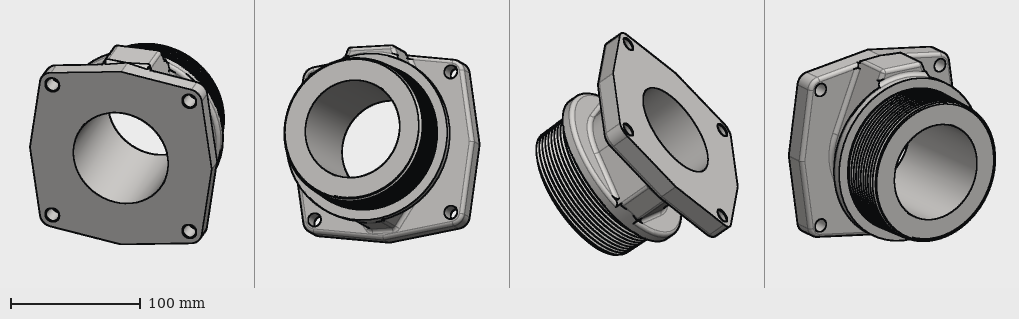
import cadquery as cq
import math


plate_reach = 73.025
plate_thickness = 17.4625
hole_offset = 55.0
corner_radius = 10.1
hole_diameter = 10.32
hole_chamfer = 0.64

neck_radius = 44.45
top_pad_half_width = 18.2
bottom_pad_half_width = 9.9

flange_radius = 65.0875
flange_front = 49.2125
flange_back = 58.7375
bore_diameter = 76.2

edge_radius = 3.175
bevel_half_length = 2.7
bevel_fill_half_width = 17.0

part_length = 95.25
thread_base_radius = 57.15
thread_pitch = 3.175
tip_chamfer = 1.5
groove_depth = 2.5
groove_width = 3.0
radius_taper = 1 / 32
groove_overlap = 0.1
tip_radius = thread_base_radius - (part_length - flange_back) * radius_taper
thread_overrun = 2 * thread_pitch


def section(y):
    """Workplane across the part axis; a negative extrusion grows towards +Y."""
    return cq.Workplane("XZ", origin=(0, y, 0))


def disc(radius, y_from, y_to):
    return section(y_from).circle(radius).extrude(y_from - y_to)


def revolved(outline):
    return outline.close().revolve(360, (0, 0, 0), (0, 1, 0))


def tangent_point(x, z, centre, radius, side):
    """Touch point on a circle of a line from (x, z); side -1 or +1 picks which of the two lines."""
    dx = x - centre
    dz = z - centre
    angle = math.atan2(dz, dx) + side * math.acos(radius / math.hypot(dx, dz))
    return (centre + radius * math.cos(angle), centre + radius * math.sin(angle))


corner_start = tangent_point(0, plate_reach, hole_offset, corner_radius, -1)
plate_edge_slope = (plate_reach - corner_start[1]) / corner_start[0]


def quarter_turned(point, turns):
    x, z = point
    for _ in range(turns):
        x, z = z, -x
    return (x, z)


def plate_outline():
    """Four shallow apexes joined by straight edges and rounded corners."""
    corner_mid = hole_offset + corner_radius * math.sqrt(0.5)
    outline = section(0).moveTo(0, plate_reach)
    for turns in range(4):
        outline = outline.lineTo(*quarter_turned(corner_start, turns))
        outline = outline.threePointArc(
            quarter_turned((corner_mid, corner_mid), turns),
            quarter_turned((corner_start[1], corner_start[0]), turns),
        )
        if turns < 3:
            outline = outline.lineTo(*quarter_turned((0, plate_reach), turns + 1))
    return outline.close()


def neck_prism(y_from, y_to):
    """Round neck blending tangentially into a pad above and below, with rounded pad edges."""
    top = tangent_point(top_pad_half_width, plate_reach, 0, neck_radius, -1)
    bottom = tangent_point(bottom_pad_half_width, -flange_radius, 0, neck_radius, 1)
    prism = (
        section(y_from)
        .moveTo(-top_pad_half_width, plate_reach)
        .lineTo(top_pad_half_width, plate_reach)
        .lineTo(*top)
        .threePointArc((neck_radius, 0), bottom)
        .lineTo(bottom_pad_half_width, -flange_radius)
        .lineTo(-bottom_pad_half_width, -flange_radius)
        .lineTo(-bottom[0], bottom[1])
        .threePointArc((-neck_radius, 0), (-top[0], top[1]))
        .close()
        .extrude(y_from - y_to)
    )
    return prism.edges("|Y").edges(">Z or <Z").fillet(edge_radius)


def make_plate():
    plate = plate_outline().extrude(-plate_thickness)
    return plate.faces(">Y").edges().fillet(edge_radius)


def make_flange():
    flange = disc(flange_radius, flange_front, flange_back)
    return flange.faces("<Y").edges().fillet(edge_radius)


def make_neck():
    """Neck with its rear edge rounded, filled out to full section inside the plate and the flange."""
    neck = neck_prism(plate_thickness, flange_front).faces(">Y").edges().fillet(edge_radius)
    root_in_plate = neck_prism(0, plate_thickness).intersect(plate_outline().extrude(-plate_thickness))
    root_in_flange = neck_prism(flange_front - edge_radius, flange_back).intersect(
        disc(flange_radius, flange_front - edge_radius, flange_back)
    )
    return neck.union(root_in_plate).union(root_in_flange)


def make_root_fillet(face_y, direction, boundary):
    """Neck stub flared at a face; direction is the sense of Y away from the face along the neck."""
    stub_end = face_y + direction * 2 * edge_radius
    slab_end = face_y - direction * edge_radius
    slab = disc(2 * plate_reach, min(face_y, slab_end), max(face_y, slab_end))
    stub = neck_prism(min(face_y, stub_end), max(face_y, stub_end))
    flared = slab.union(stub)
    slab_face = flared.faces("|Y").faces(">Y[1]").val()
    neck_outline = slab_face.innerWires()[0]
    flared = flared.newObject(neck_outline.Edges()).fillet(edge_radius)
    return flared.intersect(boundary)


def make_plate_root_fillet():
    """Fillet around the neck on the flat of the plate, inside the plate's edge round."""
    flat = plate_outline().offset2D(-edge_radius).extrude(-plate_thickness - edge_radius)
    return make_root_fillet(plate_thickness, 1, flat)


def make_flange_root_fillet():
    """Fillet around the neck on the flat of the flange, inside the flange's edge round."""
    flat = disc(flange_radius - edge_radius, flange_front - edge_radius, flange_back)
    return make_root_fillet(flange_front, -1, flat)


def make_pad_to_flange_fillet():
    """Concave ring between the flange rim and the rear face of the upper pad."""
    centre_radius = flange_radius + edge_radius
    centre_y = flange_front + edge_radius
    arc_reach = edge_radius * math.sqrt(0.5)
    ring = revolved(
        cq.Workplane("XY")
        .moveTo(flange_radius - edge_radius, flange_front - edge_radius)
        .lineTo(centre_radius, flange_front - edge_radius)
        .lineTo(centre_radius, flange_front)
        .threePointArc((centre_radius - arc_reach, centre_y - arc_reach), (flange_radius, centre_y))
        .lineTo(flange_radius - edge_radius, centre_y)
    )
    upper_half = cq.Workplane("XY").box(
        4 * plate_reach, 4 * plate_reach, 2 * plate_reach, centered=(True, True, False)
    )
    upper_pad = neck_prism(flange_front - edge_radius, centre_y).intersect(upper_half)
    return ring.intersect(upper_pad)


def tetrahedron(a, b, c, d):
    faces = []
    for corners in ((a, b, c), (a, b, d), (a, c, d), (b, c, d)):
        wire = cq.Wire.makePolygon([cq.Vector(*p) for p in corners], close=True)
        faces.append(cq.Face.makeFromWires(wire))
    return cq.Workplane(obj=cq.Solid.makeSolid(cq.Shell.makeShell(faces)))


def make_groove():
    """Right-handed V groove whose start faces -X, just behind the flange."""
    start_y = flange_back + thread_pitch / 2
    path = cq.Wire.makeHelix(
        thread_pitch,
        part_length - flange_back + thread_overrun,
        thread_base_radius,
        cq.Vector(0, start_y, 0),
        cq.Vector(0, 1, 0),
        -math.degrees(math.atan(radius_taper)),
    )
    half_width = groove_width / 2 * (1 + groove_overlap / groove_depth)
    outer = thread_base_radius + groove_overlap
    profile = (
        cq.Workplane("YZ")
        .moveTo(start_y, thread_base_radius - groove_depth)
        .lineTo(start_y + half_width, outer)
        .lineTo(start_y - half_width, outer)
        .close()
    )
    groove = profile.sweep(cq.Workplane(obj=path), isFrenet=True)
    return groove.rotate((0, 0, 0), (0, 1, 0), -90)


def tip_chamfer_ring():
    """Cutter for the 45 degree chamfer on the threaded tip."""
    inner_radius = tip_radius - tip_chamfer
    return revolved(
        cq.Workplane("XY")
        .moveTo(inner_radius, part_length)
        .lineTo(inner_radius + 2 * tip_chamfer, part_length - 2 * tip_chamfer)
        .lineTo(inner_radius + 2 * tip_chamfer, part_length + tip_chamfer)
        .lineTo(inner_radius, part_length + tip_chamfer)
    )


def make_threaded_end():
    """Tapered blank with the V groove and a chamfered tip; its seam faces -Z, clear of the groove's start."""
    blank = (
        cq.Workplane("YZ")
        .moveTo(flange_back, 0)
        .lineTo(flange_back, -thread_base_radius)
        .lineTo(part_length, -tip_radius)
        .lineTo(part_length, 0)
        .close()
        .revolve(360, (0, 0, 0), (1, 0, 0))
    )
    return blank.cut(make_groove()).cut(tip_chamfer_ring())


def bevel_wedge(side, half_width, direction):
    """Tetrahedron between the bevel plane and the plate's rear face, tapering to the upper apex.

    direction +1 gives the part above the middle of the step and behind the plate's rear face,
    -1 the part below the middle and ahead of that face.
    """
    half_step = half_width * plate_edge_slope / 2
    length = bevel_half_length * half_width / top_pad_half_width
    x = side * half_width
    middle_z = plate_reach - half_step
    edge_z = middle_z + direction * half_step
    return tetrahedron(
        (0, plate_thickness, plate_reach),
        (x, plate_thickness, middle_z),
        (x, plate_thickness + direction * length, edge_z),
        (x, plate_thickness, edge_z),
    )


def bevel_pad_step(body):
    """Blend the step between pad and plate, which widens from the apex towards each pad edge."""
    for side in (-1, 1):
        body = body.cut(bevel_wedge(side, top_pad_half_width, 1))
        body = body.union(bevel_wedge(side, bevel_fill_half_width, -1))
    return body


def cut_bolt_holes(body):
    """Four through holes, chamfered on the mounting face."""
    chamfer_radius = hole_diameter / 2 + hole_chamfer
    hole = disc(hole_diameter / 2, 0, plate_thickness)
    chamfer = revolved(
        cq.Workplane("XY")
        .lineTo(chamfer_radius, 0)
        .lineTo(hole_diameter / 2, hole_chamfer)
        .lineTo(0, hole_chamfer)
    )
    cutter = hole.union(chamfer)
    for x in (-hole_offset, hole_offset):
        for z in (-hole_offset, hole_offset):
            body = body.cut(cutter.translate((x, 0, z)))
    return body


body = make_plate().union(make_neck()).union(make_plate_root_fillet())
body = bevel_pad_step(body)
body = body.union(make_flange()).union(make_flange_root_fillet()).union(make_pad_to_flange_fillet())
body = body.union(make_threaded_end())
body = cut_bolt_holes(body)
result = body.cut(disc(bore_diameter / 2, 0, part_length))